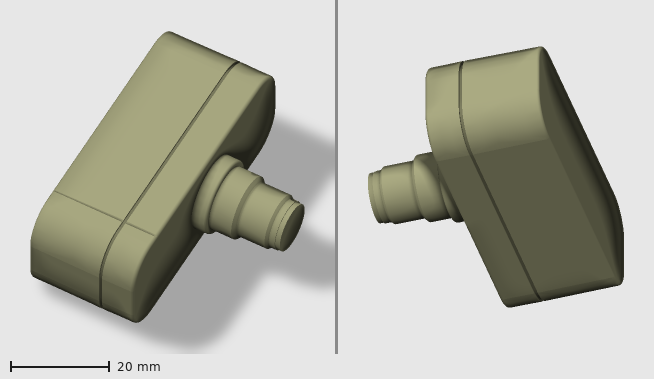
import cadquery as cq
import math

case_width = 60.0
case_height = 23.0
corner_radius = 7.5
draft_angle = 0.5

housing_end_x = 16.25
cap_start_x = 17.0
cap_end_x = 24.25
collar_end_x = 27.6
shoulder_chamfer_x = 32.75
shoulder_end_x = 33.65
plug_chamfer_x = 39.95
key_ring_start_x = 40.6
key_ring_end_x = 42.0
plug_end_x = 43.1

parting_groove_depth = 0.5

housing_edge_radius = 0.6
cap_edge_radius = 0.7
collar_draft_angle = 1.0
collar_edge_radius = 0.55
shoulder_foot_radius = 0.5

marker_y = -20.0
marker_depth = 0.3
marker_angle = 90.0

plug_y = 2.5
collar_diameter = 16.45
shoulder_diameter = 14.0
plug_diameter = 12.0
key_ring_diameter = 10.85
tip_diameter = 10.45

key_slot_width = 1.8
key_slot_angle = 45.0


def rounded_plate(start_x, length, inset=0.0, taper=0.0):
    """Rounded rectangle extruded along X; a negative length extrudes towards -X."""
    outline = cq.Sketch().rect(case_width - 2 * inset, case_height - 2 * inset)
    outline = outline.vertices().fillet(corner_radius)
    plane = cq.Workplane("YZ", origin=(start_x, 0, 0))
    return plane.placeSketch(outline).extrude(length, taper=taper)


def round_bar(start_x, end_x, diameter, taper=0.0):
    """Cylinder on the connector axis."""
    plane = cq.Workplane("YZ", origin=(start_x, plug_y, 0))
    return plane.circle(diameter / 2).extrude(end_x - start_x, taper=taper)


def marker_cutter():
    """V-shaped bar that cuts the marker line at a constant level through both shells."""
    half_width = marker_depth * math.tan(math.radians(marker_angle / 2))
    top_z = case_height / 2
    profile = [
        (marker_y - half_width, top_z),
        (marker_y + half_width, top_z),
        (marker_y, top_z - marker_depth),
    ]
    return cq.Workplane("YZ").polyline(profile).close().extrude(cap_end_x)


def make_housing():
    """Closed shell on the -X side."""
    shell = rounded_plate(housing_end_x, -housing_end_x, taper=draft_angle)
    shell = shell.faces("<X").edges().fillet(housing_edge_radius)
    return shell.cut(marker_cutter())


def make_cap():
    """Shell on the +X side with the neck of the parting groove and the connector collar."""
    shell = rounded_plate(cap_start_x, cap_end_x - cap_start_x, taper=draft_angle)
    shell = shell.faces(">X").edges().fillet(cap_edge_radius)
    shell = shell.cut(marker_cutter())
    neck = rounded_plate(housing_end_x, cap_start_x - housing_end_x, inset=parting_groove_depth)
    collar = round_bar(cap_end_x, collar_end_x, collar_diameter, taper=collar_draft_angle)
    collar = collar.faces(">X").edges().fillet(collar_edge_radius)
    return shell.union(neck).union(collar)


def key_slot_cutter():
    """Round-ended slot through the key ring, open towards the tip, down to the tip diameter."""
    slot_radius = key_slot_width / 2
    mouth_start_x = key_ring_start_x + slot_radius
    reach = key_ring_diameter
    slot = (
        cq.Workplane("XY")
        .center(mouth_start_x, 0)
        .circle(slot_radius)
        .extrude(reach)
    )
    mouth = cq.Workplane("XY").box(
        plug_end_x - mouth_start_x, key_slot_width, reach, centered=(False, True, False)
    )
    slot = slot.union(mouth.translate((mouth_start_x, 0, 0)))
    slot = slot.rotate((0, 0, 0), (1, 0, 0), -key_slot_angle).translate((0, plug_y, 0))
    return slot.cut(round_bar(key_ring_start_x, plug_end_x, tip_diameter))


def make_connector():
    """Stepped round plug with two chamfered shoulders, seated on the collar."""
    shoulder_radius = shoulder_diameter / 2
    plug_radius = plug_diameter / 2
    key_ring_radius = key_ring_diameter / 2
    tip_radius = tip_diameter / 2
    half_profile = [
        (collar_end_x, 0),
        (collar_end_x, shoulder_radius),
        (shoulder_chamfer_x, shoulder_radius),
        (shoulder_end_x, plug_radius),
        (plug_chamfer_x, plug_radius),
        (key_ring_start_x, key_ring_radius),
        (key_ring_end_x, key_ring_radius),
        (key_ring_end_x, tip_radius),
        (plug_end_x, tip_radius),
        (plug_end_x, 0),
    ]
    plug = cq.Workplane("XY").polyline(half_profile).close().revolve(360, (0, 0, 0), (1, 0, 0))
    shoulder_foot = cq.selectors.NearestToPointSelector((shoulder_end_x, 0, 0))
    plug = plug.edges(shoulder_foot).fillet(shoulder_foot_radius)
    return plug.translate((0, plug_y, 0)).cut(key_slot_cutter())


housing = make_housing()
cap = make_cap()
connector = make_connector()

result = cq.Compound.makeCompound([housing.val(), cap.val(), connector.val()])